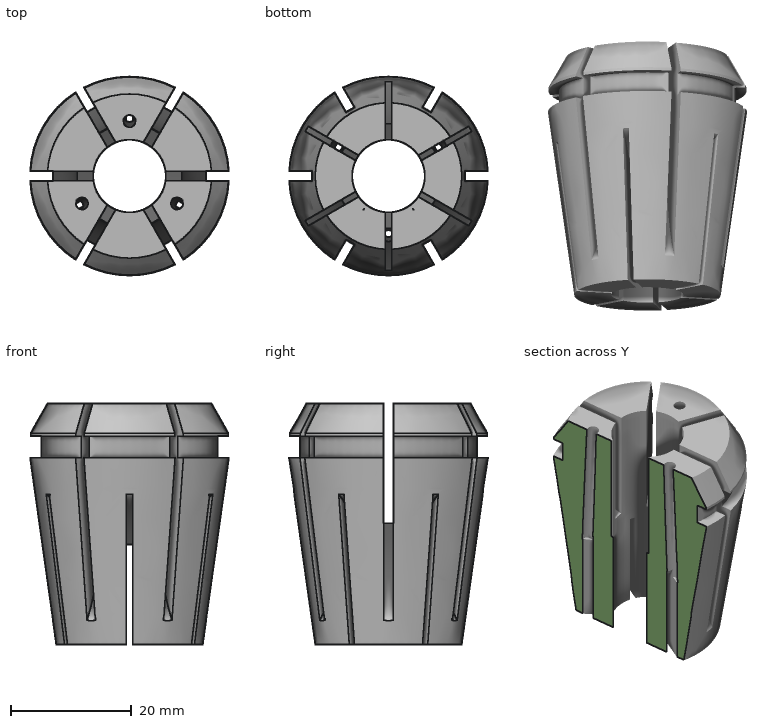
import cadquery as cq
import math

height = 40.0
body_top_radius = 16.5
body_top_z = 31.0
body_half_angle = 8.0
head_rim_radius = 16.4
head_rim_bottom_z = 34.55
head_rim_top_z = 35.05
head_top_radius = 13.6
groove_radius = 14.7

bore_radius = 6.0

slots_per_set = 6
slot_pitch = 360.0 / slots_per_set
slot_arc_inner_radius = 8.7
slot_cone_slope = 15.0
top_slot_width = 1.6
top_slot_outer_z = 4.0
top_slot_inner_z = 20.15
top_slot_arc_radius = 26.0
bottom_slot_width = 1.0
bottom_slot_outer_z = 24.95
bottom_slot_inner_z = 16.6
bottom_slot_arc_radius = 17.6

hole_count = 3
hole_radius = 1.0
hole_circle_radius = 9.1
hole_first_angle = 90.0
hole_depth = 24.0
hole_lean = 2.3

clearance = 4.0
slot_start_radius = bore_radius - clearance
slot_overlap = 0.4
cutter_reach = body_top_radius + clearance


def body_radius_at(z):
    """Radius of the tapered body at height z."""
    return body_top_radius - (body_top_z - z) * math.tan(math.radians(body_half_angle))


def revolved(points):
    """Solid of revolution about Z from (radius, z) points."""
    return cq.Workplane("XZ").polyline(points).close().revolve(360, (0, 0, 0), (0, 1, 0))


def make_body():
    return revolved([
        (0, 0),
        (body_radius_at(0), 0),
        (body_top_radius, body_top_z),
        (groove_radius, body_top_z),
        (groove_radius, head_rim_bottom_z),
        (head_rim_radius, head_rim_bottom_z),
        (head_rim_radius, head_rim_top_z),
        (head_top_radius, height),
        (0, height),
    ])


def make_bore():
    return cq.Workplane("XY").circle(bore_radius).extrude(height)


def slot_cutter(width, open_z, inner_z, outer_z, arc_radius):
    """
    Radial slot along +X, open at open_z.
    Its closed end is an arc from the outer surface to the inner radius, then a
    shallow cone around Z that runs on to the bore, away from the open end.
    """
    outer_part = (
        cq.Workplane("XZ")
        .moveTo(slot_arc_inner_radius, open_z)
        .lineTo(slot_arc_inner_radius, inner_z)
        .radiusArc((body_radius_at(outer_z), outer_z), arc_radius)
        .lineTo(cutter_reach, outer_z)
        .lineTo(cutter_reach, open_z)
        .close()
        .extrude(width / 2, both=True)
    )
    cone_end_radius = slot_arc_inner_radius + slot_overlap
    away_from_opening = math.copysign(math.tan(math.radians(slot_cone_slope)), inner_z - open_z)
    space_over_cone = revolved([
        (0, open_z),
        (0, inner_z + slot_arc_inner_radius * away_from_opening),
        (cone_end_radius, inner_z - slot_overlap * away_from_opening),
        (cone_end_radius, open_z),
    ])
    inner_part = (
        cq.Workplane("XZ")
        .moveTo(slot_start_radius, 0)
        .lineTo(cone_end_radius, 0)
        .lineTo(cone_end_radius, height)
        .lineTo(slot_start_radius, height)
        .close()
        .extrude(width / 2, both=True)
        .intersect(space_over_cone)
    )
    return outer_part.union(inner_part)


def cut_around(solid, cutter, count, first_angle):
    """Cut evenly spaced turned copies of the cutter out of the solid."""
    for index in range(count):
        angle = first_angle + index * 360.0 / count
        solid = solid.cut(cutter.rotate((0, 0, 0), (0, 0, 1), angle))
    return solid


def make_hole():
    """Leaning hole placed on the +X side, starting above the top face."""
    return (
        cq.Workplane("XY")
        .circle(hole_radius)
        .extrude(hole_depth + clearance)
        .translate((0, 0, -hole_depth))
        .rotate((0, 0, 0), (0, 1, 0), -hole_lean)
        .translate((hole_circle_radius, 0, height))
    )


top_slot = slot_cutter(
    top_slot_width, height, top_slot_inner_z, top_slot_outer_z, -top_slot_arc_radius
)
bottom_slot = slot_cutter(
    bottom_slot_width, 0, bottom_slot_inner_z, bottom_slot_outer_z, bottom_slot_arc_radius
)

result = make_body().cut(make_bore())
result = cut_around(result, make_hole(), hole_count, hole_first_angle)
result = cut_around(result, top_slot, slots_per_set, 0)
result = cut_around(result, bottom_slot, slots_per_set, slot_pitch / 2)